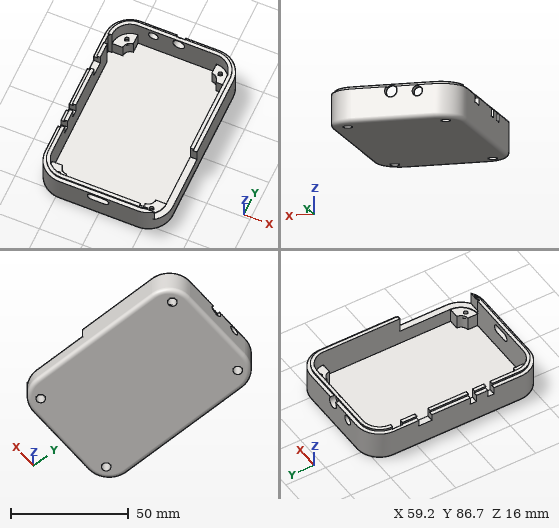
import math

import cadquery as cq

LENGTH = 86.7
WIDTH = 59.2
HEIGHT = 16.0
CORNER_RADIUS = 11.45
BOTTOM_FILLET = 2.0
WALL = 3.1
FLOOR = 1.7

LIP_HEIGHT = 1.3
LIP_TOP_INSET = 1.5
LIP_BASE_INSET = 1.8
LEDGE_Z = HEIGHT - LIP_HEIGHT

BOSS_TOP = 8.5
BOSS_NOTCH_RADIUS = 3.4
SCREW_DIAMETER = 1.9
HEAD_DIAMETER = 4.0
HEAD_DEPTH = 6.8
SCREW_X = 21.6
SCREW_Y = 36.4

LEFT_NOTCHES = [
    (16.1, 6.6, 11.5),
    (-8.0, 3.1, 11.2),
    (-16.7, 3.1, 11.2),
]

POCKET_CENTRE_Y = 29.1
POCKET_WIDTH = 4.85

OPENING_START_Y = -41.1
OPENING_END_Y = -6.6
OPENING_Z = 8.8

SLOT_X = -0.2
SLOT_Z = 12.0
SLOT_LENGTH = 9.8
SLOT_HEIGHT = 3.7

BACK_HOLES = [
    (0.7, 12.9, 5.4),
    (-11.0, 12.1, 4.4),
]

CUT_MARGIN = 0.9


def rounded_block(inset, bottom, top, lean=0.0):
    """Tray outline moved inward by `inset`; a negative `lean` widens it toward the top."""
    outline = cq.Sketch().rect(WIDTH - 2 * inset, LENGTH - 2 * inset)
    outline = outline.vertices().fillet(CORNER_RADIUS - inset)
    return cq.Workplane("XY", origin=(0, 0, bottom)).placeSketch(outline).extrude(top - bottom, taper=lean)


def box_between(x_range, y_range, z_range):
    """Block spanning the given (low, high) ranges."""
    sizes = [high - low for low, high in (x_range, y_range, z_range)]
    corner = (x_range[0], y_range[0], z_range[0])
    return cq.Workplane("XY").box(*sizes, centered=False).translate(corner)


def make_shell():
    body = rounded_block(0, 0, LEDGE_Z).faces("<Z").edges().fillet(BOTTOM_FILLET)
    lean = -math.degrees(math.atan((LIP_BASE_INSET - LIP_TOP_INSET) / LIP_HEIGHT))
    lip = rounded_block(LIP_BASE_INSET, LEDGE_Z, HEIGHT, lean)
    cavity = rounded_block(WALL, FLOOR, HEIGHT + CUT_MARGIN)
    return body.union(lip).cut(cavity)


def make_bosses():
    """Four corner bosses filling the cavity corners, each hollowed by a round notch at its inner edge."""
    inner_x = WIDTH / 2 - CORNER_RADIUS
    inner_y = LENGTH / 2 - CORNER_RADIUS
    corner = box_between((inner_x, WIDTH / 2), (inner_y, LENGTH / 2), (0, BOSS_TOP))
    notch = cq.Workplane("XY").center(inner_x, inner_y).circle(BOSS_NOTCH_RADIUS).extrude(BOSS_TOP)
    boss = corner.cut(notch)
    right_pair = boss.union(boss.mirror("XZ"))
    four = right_pair.union(right_pair.mirror("YZ"))
    return four.intersect(rounded_block(WALL / 2, FLOOR / 2, BOSS_TOP))


def make_screw_bores(diameter, depth):
    """One bore per boss, rising from the underside to `depth`."""
    centres = cq.Workplane("XY").rect(2 * SCREW_X, 2 * SCREW_Y, forConstruction=True).vertices()
    return centres.circle(diameter / 2).extrude(depth)


def make_left_notch(centre_y, width, bottom):
    return box_between(
        (-WIDTH / 2 - CUT_MARGIN, -WIDTH / 2 + WALL + CUT_MARGIN),
        (centre_y - width / 2, centre_y + width / 2),
        (bottom, HEIGHT + CUT_MARGIN),
    )


def make_pocket():
    return box_between(
        (-WIDTH / 2 + LIP_TOP_INSET, -WIDTH / 2 + WALL + CUT_MARGIN),
        (POCKET_CENTRE_Y - POCKET_WIDTH / 2, POCKET_CENTRE_Y + POCKET_WIDTH / 2),
        (FLOOR, HEIGHT + CUT_MARGIN),
    )


def make_corner_opening():
    return box_between(
        (WIDTH / 2 - CORNER_RADIUS, WIDTH / 2 + CUT_MARGIN),
        (OPENING_START_Y, OPENING_END_Y),
        (OPENING_Z, HEIGHT + CUT_MARGIN),
    )


def make_front_slot():
    slot = cq.Workplane("XZ", origin=(SLOT_X, -LENGTH / 2 + WALL + CUT_MARGIN, SLOT_Z))
    return slot.slot2D(SLOT_LENGTH, SLOT_HEIGHT).extrude(WALL + 2 * CUT_MARGIN)


def make_back_hole(x, z, diameter):
    hole = cq.Workplane("XZ", origin=(x, LENGTH / 2 + CUT_MARGIN, z))
    return hole.circle(diameter / 2).extrude(WALL + 2 * CUT_MARGIN)


result = make_shell().union(make_bosses())
result = result.cut(make_screw_bores(SCREW_DIAMETER, HEIGHT))
result = result.cut(make_screw_bores(HEAD_DIAMETER, HEAD_DEPTH))
for notch_sizes in LEFT_NOTCHES:
    result = result.cut(make_left_notch(*notch_sizes))
result = result.cut(make_pocket()).cut(make_corner_opening()).cut(make_front_slot())
for hole_sizes in BACK_HOLES:
    result = result.cut(make_back_hole(*hole_sizes))